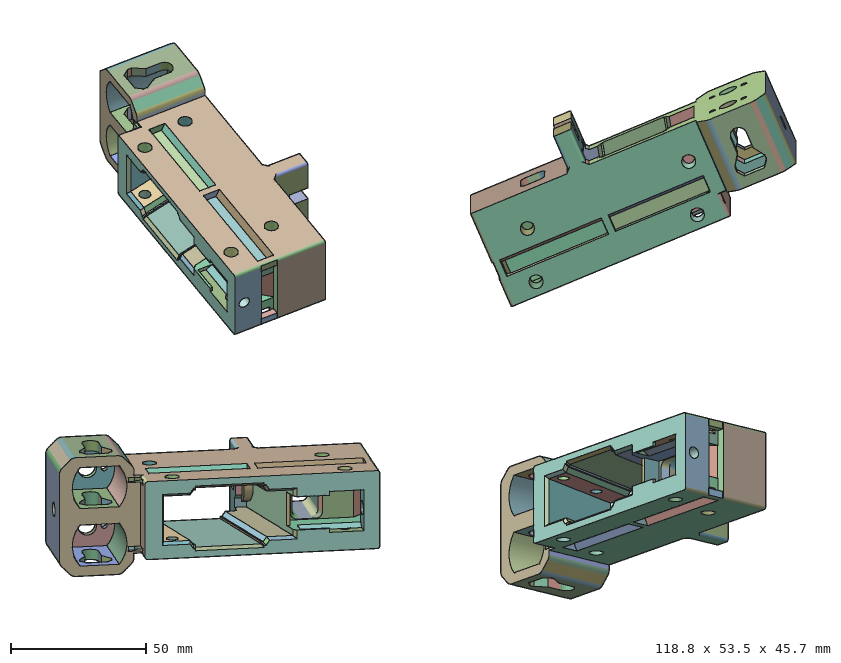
import cadquery as cq
import math


length = 118.75
housing_start = 30.5
housing_depth = 38.5
housing_half_height = 15.0
edge_radius = 1.0

block_width = 28.0
block_half_height = 22.85
block_front = 9.5
block_chamfer = 4.85
block_corner_radius = 3.0
block_mid_y = 21.65

pocket_x = 15.1
pocket_z = 11.05
pocket_half_width = 10.25
pocket_half_height = 7.85
pocket_flat_half_width = 7.35
pocket_floor = 3.0
shaft_hole_diameter = 6.9
motor_screw_diameter = 2.3
motor_screw_offset = 6.35

key_x = 15.0
key_neck_half_width = 3.1
key_top = 31.7
key_neck_end = 22.4
key_wide_half_width = 6.0
key_wide_start = 18.0
key_wide_end = 16.2
key_bottom = 13.65
key_bottom_half_width = 4.0

notch_inner_radius = 4.9
notch_outer_radius = 2.5
notch_width = 2.5
notch_entry_width = 2.1
notch_entry_depth = 1.5
notch_low = 12.3
notch_high = 14.15

well_tilt = math.radians(13.5)
lip_depth = 1.4
lip_width = 1.05
well_left = 37.7
well_right = 86.3
well_low_half = 8.75
well_high_half = 11.4
well_ledge_half = 10.6
well_ledge_width = 0.7
well_ramp_width = 1.35
well_left_step = 49.7
well_right_step = 74.4

tab_left = 71.9
tab_width = 7.0
tab_reach = 53.5
tab_foot_chamfer = 1.0
tab_slot_half = 2.75
tab_slot_start = 45.7
well_floor_y = 43.1

boss_radius = 6.5
boss_y = 43.5
boss_start = 74.4
stub_front = 41.6
stub_front_half = 3.6
stub_back_half = 5.2

channel_left = 86.3
channel_right = 112.75
channel_half = 6.4
channel_back = 14.0
channel_ramp_start = 111.3
trough_left = 89.0
trough_half = 7.86
trough_flat_end = 4.4
trough_slope_end = 7.05
trough_lip = 1.0
trough_mouth_left = 99.9

window_left = 88.8
window_right = 98.5
window_flare = 1.2
window_half = 6.1
window_radius = 2.5
window_flare_depth = 3.0

strap_low = 11.3
strap_high = 18.1
strap_floor_high = 16.6
strap_depth = 2.9
strap_spans = [(33.85, 72.0), (74.85, 115.65)]
end_bridge_start = strap_spans[-1][1]
strap_ramp_start = 114.1
end_groove_depth = 0.4

screw_top_diameter = 5.2
screw_bottom_diameter = 4.2
screw_depth = 7.1
end_hole_y = 3.9
screw_places = [(36.6, 25.1), (41.6, 5.2), (101.5, 25.1), (106.5, 5.2)]

margin = 1.0


def box(x0, x1, y0, y1, z0, z1):
    return cq.Workplane("XY").box(x1 - x0, y1 - y0, z1 - z0, centered=False).translate((x0, y0, z0))


def prism_along_y(outline, y0, y1):
    """Extrude an XZ outline from y0 to y1."""
    return cq.Workplane("XZ", origin=(0, y0, 0)).polyline(outline).close().extrude(y0 - y1)


def prism_along_z(outline, half_height):
    return cq.Workplane("XY").polyline(outline).close().extrude(half_height, both=True)


def both_sides(shape):
    """The shape together with its mirror image below the mid plane."""
    return shape.union(shape.mirror("XY"))


def make_housing():
    body = box(housing_start, length, 0, housing_depth, -housing_half_height, housing_half_height)
    body = body.edges("|Y").fillet(edge_radius)
    bridge = box(
        block_width - margin, housing_start + 2 * edge_radius, block_front, housing_depth,
        -housing_half_height, housing_half_height,
    )
    return body.union(bridge)


def make_block():
    block = box(0, block_width, block_front, housing_depth, -block_half_height, block_half_height)
    block = block.edges("|Y").chamfer(block_chamfer)
    return block.edges("|Y").fillet(block_corner_radius)


def make_tab():
    tab_right = tab_left + tab_width
    tab = box(
        tab_left, tab_right, housing_depth - 2 * margin, tab_reach,
        -housing_half_height, housing_half_height,
    )
    tab = tab.edges("|Y").fillet(edge_radius)
    reach = tab_foot_chamfer + edge_radius
    foot = prism_along_z(
        [
            (tab_left - tab_foot_chamfer, housing_depth),
            (tab_left - tab_foot_chamfer + reach, housing_depth + reach),
            (tab_right + tab_foot_chamfer - reach, housing_depth + reach),
            (tab_right + tab_foot_chamfer, housing_depth),
        ],
        housing_half_height,
    )
    return tab.union(foot)


def make_tab_slot():
    return box(
        tab_left - margin, tab_left + tab_width + margin, tab_slot_start, tab_reach + margin,
        -tab_slot_half, tab_slot_half,
    )


def make_motor_pockets():
    cuts = cq.Workplane("XZ")
    floor_y = housing_depth - pocket_floor
    for z in (-pocket_z, pocket_z):
        face = cq.Workplane("XZ", origin=(pocket_x, block_front, z))
        pocket = (
            face.moveTo(-pocket_flat_half_width, pocket_half_height)
            .lineTo(pocket_flat_half_width, pocket_half_height)
            .threePointArc((pocket_half_width, 0), (pocket_flat_half_width, -pocket_half_height))
            .lineTo(-pocket_flat_half_width, -pocket_half_height)
            .threePointArc((-pocket_half_width, 0), (-pocket_flat_half_width, pocket_half_height))
            .close()
            .extrude(block_front - floor_y)
        )
        through = block_front - housing_depth
        shaft = face.circle(shaft_hole_diameter / 2).extrude(through)
        screws = (
            face.pushPoints([(-motor_screw_offset, 0), (motor_screw_offset, 0)])
            .circle(motor_screw_diameter / 2)
            .extrude(through)
        )
        cuts = cuts.add(pocket.union(shaft).union(screws))
    return cuts.combine()


def make_keyhole():
    neck_arc_y = key_top - key_neck_half_width
    return (
        cq.Workplane("XY", origin=(key_x, 0, 0))
        .moveTo(-key_neck_half_width, neck_arc_y)
        .threePointArc((0, key_top), (key_neck_half_width, neck_arc_y))
        .lineTo(key_neck_half_width, key_neck_end)
        .lineTo(key_wide_half_width, key_wide_start)
        .lineTo(key_wide_half_width, key_wide_end)
        .lineTo(key_bottom_half_width, key_bottom)
        .lineTo(-key_bottom_half_width, key_bottom)
        .lineTo(-key_wide_half_width, key_wide_end)
        .lineTo(-key_wide_half_width, key_wide_start)
        .lineTo(-key_neck_half_width, key_neck_end)
        .close()
        .extrude(block_half_height, both=True)
    )


def make_cable_notches():
    left = housing_start - notch_width
    back = block_front + notch_width
    centre_x = housing_start + notch_inner_radius
    centre_y = block_front - notch_inner_radius
    bend = box(left, centre_x, centre_y, back, notch_low, notch_high)
    bend = bend.edges("|Z and <X and >Y").fillet(notch_outer_radius)
    kept_corner = (
        cq.Workplane("XY", origin=(centre_x, centre_y, notch_low))
        .circle(notch_inner_radius)
        .extrude(notch_high - notch_low)
    )
    entry = box(
        left - notch_entry_width, left + notch_outer_radius, block_front, block_front + notch_entry_depth,
        notch_low, notch_high,
    )
    notch = bend.cut(kept_corner).union(entry)
    return both_sides(notch)


def well_outline(y, grow):
    """Well section at depth y, widened by grow on every side."""
    shift = -(y - lip_depth) * math.tan(well_tilt)
    left_step = well_left_step - grow / 2
    right_step = well_right_step + grow / 2
    left_ledge = left_step - well_ledge_width
    right_ledge = right_step + well_ledge_width
    upper = [
        (well_left - grow, well_low_half + grow),
        (left_ledge - well_ramp_width, well_low_half + grow),
        (left_ledge, well_ledge_half + grow),
        (left_step, well_ledge_half + grow),
        (left_step, well_high_half + grow),
        (right_step, well_high_half + grow),
        (right_step, well_ledge_half + grow),
        (right_ledge, well_ledge_half + grow),
        (right_ledge + well_ramp_width, well_low_half + grow),
        (well_right + grow, well_low_half + grow),
    ]
    lower = [(x, -z) for x, z in reversed(upper)]
    return [(x + shift, z) for x, z in upper + lower]


def loft_between(outline_near, y_near, outline_far, y_far):
    near = cq.Workplane("XZ", origin=(0, y_near, 0)).polyline(outline_near).close()
    return near.workplane(offset=y_near - y_far).polyline(outline_far).close().loft(ruled=True)


def make_well():
    well = loft_between(well_outline(lip_depth, 0), lip_depth, well_outline(well_floor_y, 0), well_floor_y)
    lip = loft_between(well_outline(0, lip_width), 0, well_outline(lip_depth, 0), lip_depth)
    return well.cut(make_boss()).union(lip)


def make_boss():
    end = tab_left + tab_width
    boss = (
        cq.Workplane("YZ", origin=(boss_start, boss_y, 0))
        .circle(boss_radius)
        .extrude(end - boss_start)
    )
    stub = (
        cq.Workplane("YZ", origin=(tab_left, 0, 0))
        .polyline(
            [
                (stub_front, -stub_front_half),
                (well_floor_y, -stub_back_half),
                (well_floor_y, stub_back_half),
                (stub_front, stub_front_half),
            ]
        )
        .close()
        .extrude(boss_start - tab_left)
    )
    return boss.union(stub)


def make_channel():
    channel = prism_along_z(
        [
            (channel_left, 0),
            (channel_right, 0),
            (channel_right, trough_slope_end),
            (channel_right + strap_low - trough_slope_end, strap_low),
            (length, strap_low),
            (length, strap_high),
            (channel_ramp_start + strap_high - channel_back, strap_high),
            (channel_ramp_start, channel_back),
            (channel_left, channel_back),
        ],
        channel_half,
    )
    opening = box(
        well_right - 2 * margin, channel_left, 0, trough_slope_end, -channel_half, channel_half
    )
    trough = (
        cq.Workplane("YZ", origin=(trough_left, 0, 0))
        .polyline(
            [
                (trough_lip, -trough_half),
                (trough_flat_end, -trough_half),
                (trough_slope_end, -channel_half),
                (trough_slope_end, channel_half),
                (trough_flat_end, trough_half),
                (trough_lip, trough_half),
            ]
        )
        .close()
        .extrude(channel_right - trough_left)
    )
    mouth = box(trough_mouth_left, channel_right, 0, trough_flat_end, -trough_half, trough_half)
    return channel.union(opening).union(trough).union(mouth)


def make_window():
    height = 2 * window_half
    width = window_right - window_left
    mid_x = (window_left + window_right) / 2
    straight = (
        cq.Workplane("XZ", origin=(mid_x, channel_back, 0))
        .sketch()
        .rect(width, height)
        .vertices()
        .fillet(window_radius)
        .finalize()
        .extrude(channel_back - housing_depth)
    )
    wide = cq.Sketch().rect(width + 2 * window_flare, height).vertices().fillet(window_radius)
    narrow = cq.Sketch().rect(width, height).vertices().fillet(window_radius)
    flare = (
        cq.Workplane("XZ", origin=(mid_x, channel_back, 0))
        .placeSketch(wide, narrow.moved(cq.Location(cq.Vector(0, 0, -window_flare_depth))))
        .loft()
    )
    return straight.union(flare)


def make_strap_grooves():
    floor_z = housing_half_height - strap_depth
    section = [
        (strap_low, housing_half_height),
        (strap_low, floor_z),
        (strap_floor_high, floor_z),
        (strap_high, housing_half_height),
    ]
    grooves = cq.Workplane("XY")
    for start, end in strap_spans:
        groove = cq.Workplane("YZ", origin=(start, 0, 0)).polyline(section).close().extrude(end - start)
        grooves = grooves.add(groove)
    ramp_bottom = floor_z - (end_bridge_start - strap_ramp_start)
    exit_ramp = prism_along_y(
        [(strap_ramp_start, floor_z), (end_bridge_start, floor_z), (end_bridge_start, ramp_bottom)],
        strap_low,
        strap_floor_high,
    )
    end_pocket = box(end_bridge_start, length, strap_low, strap_high, 0, floor_z)
    end_groove = box(
        length - end_groove_depth, length, strap_low, strap_high,
        -housing_half_height, housing_half_height,
    )
    return both_sides(grooves.add(exit_ramp).add(end_pocket).combine()).union(end_groove)


def tapered_hole(depth):
    """Screw hole from the XY plane down, narrowing to the bottom."""
    return (
        cq.Workplane("XZ")
        .polyline([(0, 0), (screw_top_diameter / 2, 0), (screw_bottom_diameter / 2, -depth), (0, -depth)])
        .close()
        .revolve(360, (0, 0, 0), (0, 1, 0))
    )


def make_screw_holes():
    holes = cq.Workplane("XY")
    for x, y in screw_places:
        holes = holes.add(tapered_hole(screw_depth).translate((x, y, housing_half_height)))
    holes = both_sides(holes.combine())
    sideways = tapered_hole(screw_depth).rotate((0, 0, 0), (0, 1, 0), 90)
    end_hole = sideways.mirror("YZ").translate((channel_right, end_hole_y, 0))
    motor_end_hole = sideways.mirror("YZ").translate((0, block_mid_y, 0))
    return holes.union(end_hole).union(motor_end_hole)


result = make_housing().union(make_block()).union(make_tab())
for cut in (
    make_tab_slot(),
    make_motor_pockets(),
    make_keyhole(),
    make_cable_notches(),
    make_well(),
    make_channel(),
    make_window(),
    make_strap_grooves(),
    make_screw_holes(),
):
    result = result.cut(cut)